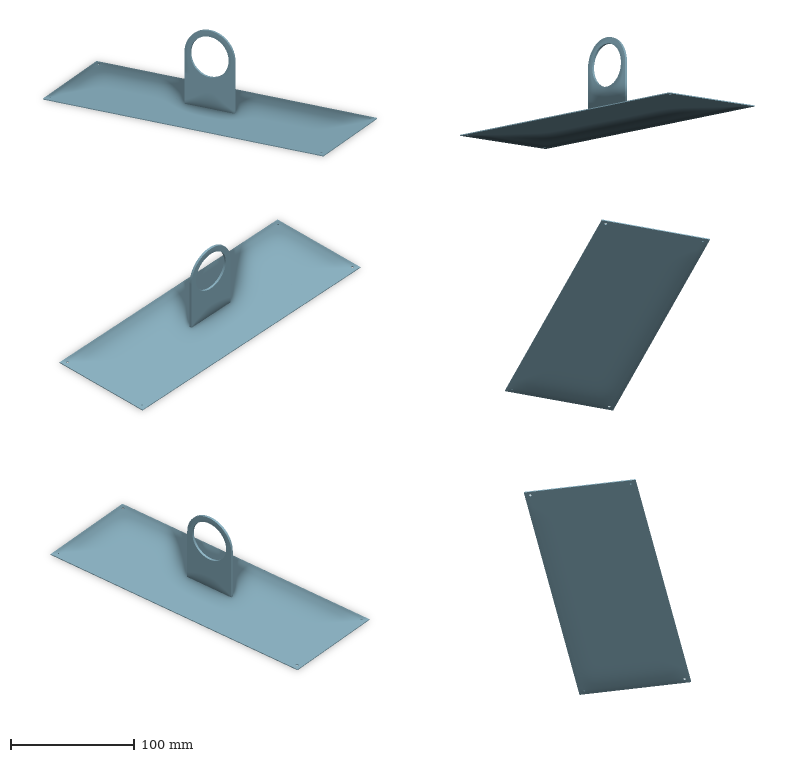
import cadquery as cq

plate_length = 258.5
plate_width = 92.0
plate_thickness = 0.8

total_height = 69.0
tab_width = 46.0
tab_thickness = 2.0
tab_radius = tab_width / 2
ring_center_z = total_height - tab_radius
ring_hole_diameter = 35.5

large_hole_diameter = 2.2
small_hole_diameter = 1.3
hole_inset_x = 4.5
hole_inset_y = 4.7
hole_x = plate_length / 2 - hole_inset_x
hole_y = plate_width / 2 - hole_inset_y


def make_plate():
    plate = cq.Workplane("XY").box(
        plate_length, plate_width, plate_thickness, centered=(True, True, False)
    )
    large_corners = [(-hole_x, hole_y), (hole_x, -hole_y)]
    small_corners = [(hole_x, hole_y), (-hole_x, -hole_y)]
    plate = plate.faces(">Z").workplane().pushPoints(large_corners).hole(large_hole_diameter)
    return plate.faces(">Z").workplane().pushPoints(small_corners).hole(small_hole_diameter)


def make_tab():
    outline = (
        cq.Workplane("XZ")
        .moveTo(-tab_radius, 0)
        .lineTo(tab_radius, 0)
        .lineTo(tab_radius, ring_center_z)
        .threePointArc((0, total_height), (-tab_radius, ring_center_z))
        .close()
    )
    tab = outline.extrude(tab_thickness / 2, both=True)
    ring_hole = (
        cq.Workplane("XZ")
        .center(0, ring_center_z)
        .circle(ring_hole_diameter / 2)
        .extrude(tab_thickness, both=True)
    )
    return tab.cut(ring_hole)


result = make_plate().union(make_tab())